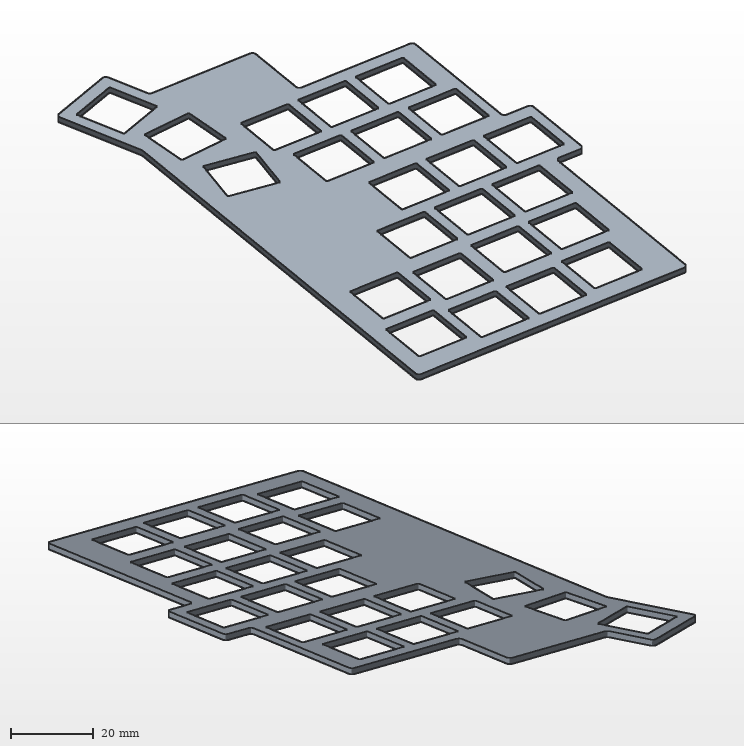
import cadquery as cq
import math


length_x = 146.0
length_y = 96.1
thickness = 1.6
corner_radius = 1.0

bottom_edge_y = 8.3
left_edge_x = 12.1
shoulder_y = 54.0
column_edge_x = 31.0
top_edge_y = 87.9
tab_left_x = 68.8
tab_right_x = 90.8

opening_size = 14.0
opening_radius = 0.3
key_pitch = 17.0

pad_angle = 20.0
pad_half_width = 10.2
pad_key_shift = 0.5

key_columns = [
    (41.8, 75.2, 3),
    (59.7, 78.1, 3),
    (79.9, 86.2, 3),
    (97.7, 76.1, 3),
    (115.7, 74.2, 2),
]

staggered_keys = [
    (116.8, 39.3),
    (114.8, 22.2),
    (133.8, 71.3),
    (134.8, 54.2),
    (134.8, 37.1),
    (132.8, 20.2),
]

tilt = math.radians(pad_angle)
pad_reach = (pad_half_width - corner_radius) * (math.cos(tilt) + math.sin(tilt)) + corner_radius
pad_centre = (pad_reach, pad_reach)


def pad_point(along, across):
    """Point given by its offsets from the pad centre in the pad's tilted axes."""
    return (
        pad_centre[0] + along * math.cos(tilt) - across * math.sin(tilt),
        pad_centre[1] + along * math.sin(tilt) + across * math.cos(tilt),
    )


thumb_keys = [
    (*pad_point(pad_key_shift, 0), pad_angle),
    (31.7, 20.2, 5.0),
    (52.5, 22.2, -10.0),
]


def make_sheet():
    """Rounded outline of the plate, extruded to its thickness."""
    pad_low_corner = pad_point(-pad_half_width, -pad_half_width)
    pad_high_corner = pad_point(-pad_half_width, pad_half_width)
    slope = math.tan(tilt)
    pad_foot_x = pad_low_corner[0] + (bottom_edge_y - pad_low_corner[1]) / slope
    pad_top_y = pad_high_corner[1] + (left_edge_x - pad_high_corner[0]) * slope
    outline = [
        pad_low_corner,
        (pad_foot_x, bottom_edge_y),
        (length_x, bottom_edge_y),
        (length_x, top_edge_y),
        (tab_right_x, top_edge_y),
        (tab_right_x, length_y),
        (tab_left_x, length_y),
        (tab_left_x, top_edge_y),
        (column_edge_x, top_edge_y),
        (column_edge_x, shoulder_y),
        (left_edge_x, shoulder_y),
        (left_edge_x, pad_top_y),
        pad_high_corner,
    ]
    sheet = cq.Workplane("XY").polyline(outline).close().extrude(thickness)
    return sheet.edges("|Z").fillet(corner_radius)


def make_opening(x, y, rotation=0.0):
    """Through cutter for one switch opening, turned about its own centre."""
    cutter = cq.Workplane("XY").rect(opening_size, opening_size).extrude(thickness)
    cutter = cutter.edges("|Z").fillet(opening_radius)
    return cutter.rotate((0, 0, 0), (0, 0, 1), rotation).translate((x, y, 0))


result = make_sheet()

for column_x, highest_y, key_count in key_columns:
    for row in range(key_count):
        result = result.cut(make_opening(column_x, highest_y - row * key_pitch))

for key_x, key_y in staggered_keys:
    result = result.cut(make_opening(key_x, key_y))

for key_x, key_y, key_rotation in thumb_keys:
    result = result.cut(make_opening(key_x, key_y, key_rotation))